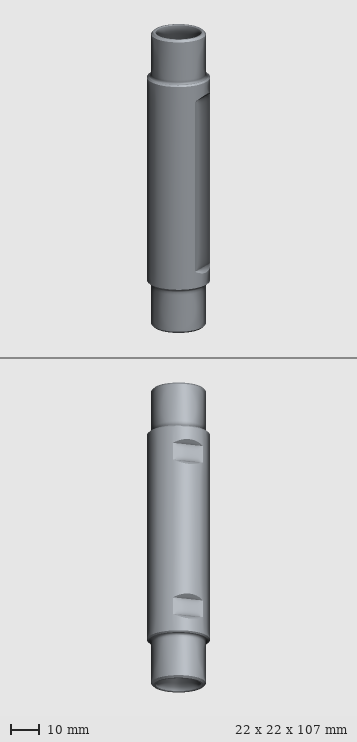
import cadquery as cq
import math

length = 107.0
body_diameter = 22.0
neck_diameter = 19.0
neck_length = 16.0
body_chamfer = 0.5
neck_fillet = 0.8
end_chamfer = 0.7

hole_diameter = 10.5
mouth_diameter = 15.9
mouth_chamfer = 0.2
taper_angle = 8.0

recess_floor_radius = 9.5
recess_inset = 5.0
recess_opening = 9.0

body_radius = body_diameter / 2
neck_radius = neck_diameter / 2
middle_height = length / 2


def make_outer_body():
    """Turned outer shape: a thick body with a thinner neck at each end."""
    body = (
        cq.Workplane("XY")
        .workplane(offset=neck_length)
        .circle(body_radius)
        .extrude(length - 2 * neck_length)
        .edges()
        .chamfer(body_chamfer)
    )
    necks = cq.Workplane("XY").circle(neck_radius).extrude(length).edges().chamfer(end_chamfer)
    return body.union(necks)


def make_shoulder_fillet():
    """Ring with a concave quarter-round section between the lower neck and its shoulder."""
    bend = neck_fillet * (1 - math.sqrt(0.5))
    return (
        cq.Workplane("XZ")
        .moveTo(neck_radius, neck_length - neck_fillet)
        .threePointArc(
            (neck_radius + bend, neck_length - bend),
            (neck_radius + neck_fillet, neck_length),
        )
        .lineTo(neck_radius + neck_fillet, neck_length + body_chamfer)
        .lineTo(hole_diameter / 2, neck_length + body_chamfer)
        .lineTo(hole_diameter / 2, neck_length - neck_fillet)
        .close()
        .revolve(360, (0, 0, 0), (0, 1, 0))
    )


def make_mouth_countersink(mouth_radius):
    """Cutter for the 45 degree chamfer around the lower mouth of the bore."""
    rim_radius = mouth_radius + mouth_chamfer
    return (
        cq.Workplane("XZ")
        .polyline([(0, 0), (rim_radius, 0), (0, rim_radius)])
        .close()
        .revolve(360, (0, 0, 0), (0, 1, 0))
    )


def make_bore():
    """Through hole that widens in a slow taper towards each end face."""
    hole_radius = hole_diameter / 2
    mouth_radius = mouth_diameter / 2
    taper_length = (mouth_radius - hole_radius) / math.tan(math.radians(taper_angle))
    tapered_bore = (
        cq.Workplane("XZ")
        .polyline([
            (0, 0),
            (mouth_radius, 0),
            (hole_radius, taper_length),
            (hole_radius, length - taper_length),
            (mouth_radius, length),
            (0, length),
        ])
        .close()
        .revolve(360, (0, 0, 0), (0, 1, 0))
    )
    lower_countersink = make_mouth_countersink(mouth_radius)
    upper_countersink = lower_countersink.mirror("XY", (0, 0, middle_height))
    return tapered_bore.union(lower_countersink).union(upper_countersink)


def make_recess(side, bottom, opening):
    """Cutter for a recess on the +X side (side = 1) or the -X side (side = -1)."""
    depth = body_radius - recess_floor_radius
    return (
        cq.Workplane("XZ")
        .polyline([
            (side * body_radius, bottom),
            (side * recess_floor_radius, bottom + depth),
            (side * recess_floor_radius, bottom + opening - depth),
            (side * body_radius, bottom + opening),
        ])
        .close()
        .extrude(body_radius, both=True)
    )


lower_recess = neck_length + recess_inset
upper_recess = length - lower_recess - recess_opening
long_recess_opening = length - 2 * lower_recess

lower_fillet = make_shoulder_fillet()
upper_fillet = lower_fillet.mirror("XY", (0, 0, middle_height))

result = make_outer_body().union(lower_fillet).union(upper_fillet).cut(make_bore())
for recess_bottom in (lower_recess, upper_recess):
    result = result.cut(make_recess(-1, recess_bottom, recess_opening))
result = result.cut(make_recess(1, lower_recess, long_recess_opening))